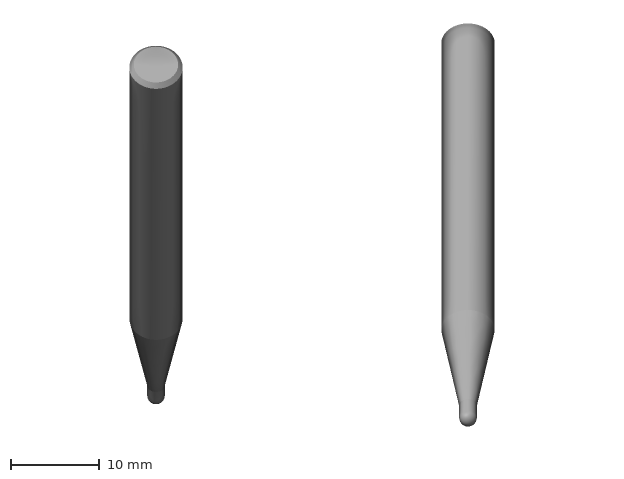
import cadquery as cq

total_length = 64.0
shank_diameter = 6.0
tip_diameter = 2.0
tip_length = 3.0
taper_top = 15.7
end_chamfer = 0.5

shank_radius = shank_diameter / 2
tip_radius = tip_diameter / 2


def make_shank():
    """Cylindrical shank with a chamfered upper end and a taper down to the tip."""
    return (
        cq.Workplane("XZ")
        .moveTo(0, tip_length)
        .lineTo(tip_radius, tip_length)
        .lineTo(shank_radius, taper_top)
        .lineTo(shank_radius, total_length - end_chamfer)
        .lineTo(shank_radius - end_chamfer, total_length)
        .lineTo(0, total_length)
        .close()
        .revolve(360, (0, 0, 0), (0, 1, 0))
    )


def make_tip():
    """Ball-nosed tip: a short cylinder ending in a hemisphere."""
    return (
        cq.Workplane("XZ")
        .moveTo(0, 0)
        .radiusArc((tip_radius, tip_radius), -tip_radius)
        .lineTo(tip_radius, tip_length)
        .lineTo(0, tip_length)
        .close()
        .revolve(360, (0, 0, 0), (0, 1, 0))
    )


shank = make_shank()
tip = make_tip()

result = cq.Compound.makeCompound([shank.val(), tip.val()])